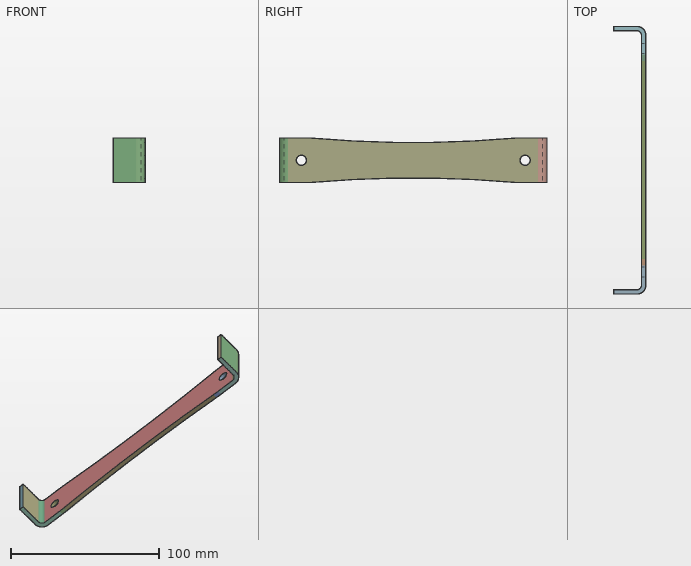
import cadquery as cq
import math

length = 180.0
depth = 21.8
height = 30.0
thickness = 3.0
inner_bend_radius = 3.0
hole_diameter = 6.7
hole_spacing = 150.3
waist_height = 24.0
blend_start = 19.0
blend_radius = 50.0

half_length = length / 2
half_height = height / 2
outer_bend_radius = inner_bend_radius + thickness


def rounded_channel(half_width, back, radius):
    """Area open towards -X, with its two corners at the back rounded."""
    block = cq.Workplane("XY").box(back, 2 * half_width, height).translate((back / 2, 0, 0))
    return block.edges("|Z and >X").fillet(radius)


def waist_cutter():
    """Material removed above the web's upper edge to form the shallow curved waist."""
    start_y = half_length - blend_start
    waist_z = waist_height / 2

    waist_depth = half_height - waist_z
    angle = 2 * math.atan(waist_depth / start_y)
    blend_end_y = start_y - blend_radius * math.sin(angle)
    blend_end_z = half_height - blend_radius * (1 - math.cos(angle))
    blend_mid_y = start_y - blend_radius * math.sin(angle / 2)
    blend_mid_z = half_height - blend_radius * (1 - math.cos(angle / 2))

    return (
        cq.Workplane("YZ")
        .moveTo(start_y, half_height)
        .threePointArc((blend_mid_y, blend_mid_z), (blend_end_y, blend_end_z))
        .threePointArc((0, waist_z), (-blend_end_y, blend_end_z))
        .threePointArc((-blend_mid_y, blend_mid_z), (-start_y, half_height))
        .close()
        .extrude(depth)
    )


outside = rounded_channel(half_length, depth, outer_bend_radius)
inside = rounded_channel(half_length - thickness, depth - thickness, inner_bend_radius)
bracket = outside.cut(inside)

upper_cutter = waist_cutter()
bracket = bracket.cut(upper_cutter).cut(upper_cutter.mirror("XY"))

holes = (
    cq.Workplane("YZ")
    .pushPoints([(-hole_spacing / 2, 0), (hole_spacing / 2, 0)])
    .circle(hole_diameter / 2)
    .extrude(depth)
)
result = bracket.cut(holes)